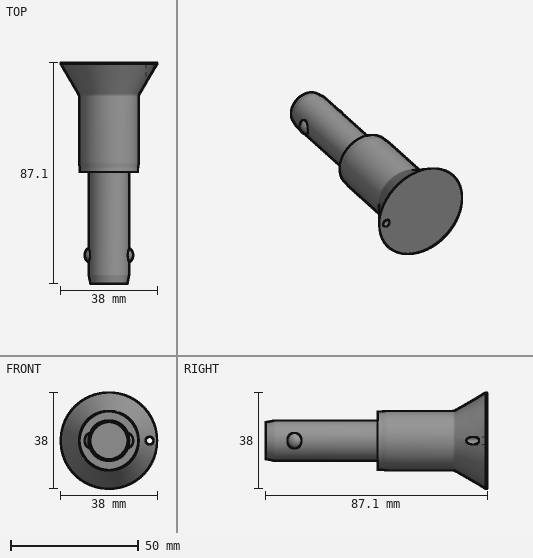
import cadquery as cq
import math


shank_radius = 8.0
shank_length = 44.0
tip_radius = 7.3
tip_taper_length = 3.5

collar_radius = 11.75
collar_nose_radius = 11.5
collar_nose_length = 1.6
collar_round_length = 2.1

handle_length = 43.1
flare_radius = 19.0
rim_thickness = 0.6
rim_fillet_radius = 0.45
flare_length = 12.95
neck_fillet_radius = 1.7

lanyard_hole_diameter = 3.0
lanyard_hole_offset = 16.0

ball_radius = 3.25
ball_reach = 9.6
ball_distance_from_tip = 11.3


def turned_body():
    """Shank, collar and flare as one revolved profile around the Y axis."""
    nose_end = collar_nose_length
    collar_start = nose_end + collar_round_length
    flare_start = handle_length - flare_length
    rim_start = handle_length - rim_thickness
    round_drop = collar_radius - collar_nose_radius
    round_radius = (collar_round_length**2 + round_drop**2) / (2 * round_drop)
    half_angle = math.asin(collar_round_length / round_radius) / 2
    round_middle = (
        collar_radius - round_radius * (1 - math.cos(half_angle)),
        collar_start - round_radius * math.sin(half_angle),
    )
    profile = (
        cq.Workplane("XY")
        .moveTo(0, -shank_length)
        .lineTo(tip_radius, -shank_length)
        .lineTo(shank_radius, -shank_length + tip_taper_length)
        .lineTo(shank_radius, 0)
        .lineTo(collar_nose_radius, 0)
        .lineTo(collar_nose_radius, nose_end)
        .threePointArc(round_middle, (collar_radius, collar_start))
        .lineTo(collar_radius, flare_start)
        .lineTo(flare_radius, rim_start)
        .lineTo(flare_radius, handle_length)
        .lineTo(0, handle_length)
        .close()
    )
    return profile.revolve(360, (0, 0, 0), (0, 1, 0))


def round_rim(body):
    """Round the back edge of the flare's rim."""
    return body.faces(">Y").edges().fillet(rim_fillet_radius)


def blend_neck(body):
    """Fillet the inside corner where the flare leaves the collar."""
    neck_y = handle_length - flare_length
    neck_edge = cq.selectors.BoxSelector(
        (-flare_radius, neck_y - neck_fillet_radius, -flare_radius),
        (flare_radius, neck_y + neck_fillet_radius, flare_radius),
        boundingbox=True,
    )
    return body.edges(neck_edge).fillet(neck_fillet_radius)


def locking_ball(side):
    """Ball protruding from the shank on the given side of the X axis."""
    center_x = side * (ball_reach - ball_radius)
    center_y = ball_distance_from_tip - shank_length
    return cq.Workplane("XY").sphere(ball_radius).translate((center_x, center_y, 0))


def lanyard_hole():
    """Cylinder that cuts the lanyard hole parallel to the Y axis."""
    return (
        cq.Workplane("XZ")
        .center(lanyard_hole_offset, 0)
        .circle(lanyard_hole_diameter / 2)
        .extrude(-handle_length)
    )


result = blend_neck(round_rim(turned_body()))
for side in (-1, 1):
    result = result.union(locking_ball(side))
result = result.cut(lanyard_hole())